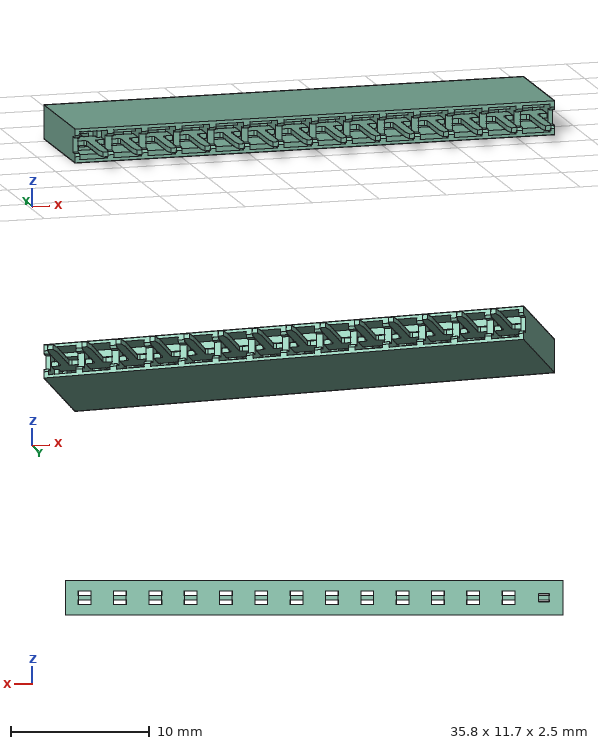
import cadquery as cq

length = 35.8
height = 2.5
housing_depth = 8.5

contact_count = 14
pitch = 2.55
first_contact_x = (length - (contact_count - 1) * pitch) / 2
contact_xs = [first_contact_x + i * pitch for i in range(contact_count)]

groove_height = 1.15
groove_depth = 0.57
groove_chamfer_height = 0.2
groove_chamfer_depth = 0.1

pocket_size = 2.05
pocket_depth = 1.6
recess_depth = 1.07
slot_height = 0.95
socket_width = 0.9
end_recess_size = 1.4
end_socket_width = 0.75
end_socket_height = 0.57

pin_thickness = 0.35
pin_width = 0.65
pin_tip_width = 0.4
pin_tip_length = 0.65
pin_overhang = 3.22
shoulder_width = 1.0
shoulder_length = 0.1
plate_start = 0.82
plate_length = 1.32
wall_bite = 0.07


def bore(x, width, depth_start, depth_end, bore_height):
    """Rectangular cutter centred on x, running inward along +Y."""
    depth = depth_end - depth_start
    return (
        cq.Workplane("XY")
        .box(width, depth, bore_height, centered=(True, False, True))
        .translate((x, depth_start, 0))
    )


def groove():
    half = groove_height / 2
    mouth = half + groove_chamfer_height
    return (
        cq.Workplane("YZ")
        .polyline([
            (0, -mouth),
            (groove_chamfer_depth, -half),
            (groove_depth, -half),
            (groove_depth, half),
            (groove_chamfer_depth, half),
            (0, mouth),
        ])
        .close()
        .extrude(length)
    )


def cavity(x):
    """Pocket with a full-width slot in its floor and a socket through the back."""
    recess_end = pocket_depth + recess_depth
    pocket = bore(x, pocket_size, 0, pocket_depth, pocket_size)
    slot = bore(x, pocket_size, pocket_depth, recess_end, slot_height)
    socket = bore(x, socket_width, recess_end, housing_depth, slot_height)
    return pocket.union(slot).union(socket)


def end_cavity(x):
    """First pocket: a square recess in its floor and a smaller socket."""
    recess_end = pocket_depth + recess_depth
    pocket = bore(x, pocket_size, 0, pocket_depth, pocket_size)
    recess = bore(x, end_recess_size, pocket_depth, recess_end, end_recess_size)
    socket = bore(x, end_socket_width, recess_end, housing_depth, end_socket_height)
    return pocket.union(recess).union(socket)


def contact(x):
    tip = pin_tip_width / 2
    pin = pin_width / 2
    shoulder = shoulder_width / 2
    plate = pocket_size / 2 + wall_bite
    shoulder_y = plate_start - shoulder_length
    plate_end = plate_start + plate_length
    right_side = [
        (tip, -pin_overhang),
        (pin, pin_tip_length - pin_overhang),
        (pin, shoulder_y),
        (shoulder, plate_start),
        (plate, plate_start),
        (plate, plate_end),
    ]
    left_side = [(-px, py) for px, py in reversed(right_side)]
    return (
        cq.Workplane("XY")
        .polyline(right_side + left_side)
        .close()
        .extrude(pin_thickness / 2, both=True)
        .translate((x, 0, 0))
    )


result = (
    cq.Workplane("XY")
    .box(length, housing_depth, height, centered=(False, False, True))
    .cut(groove())
    .cut(end_cavity(contact_xs[0]))
)
for contact_x in contact_xs[1:]:
    result = result.cut(cavity(contact_x))
for contact_x in contact_xs:
    result = result.union(contact(contact_x))